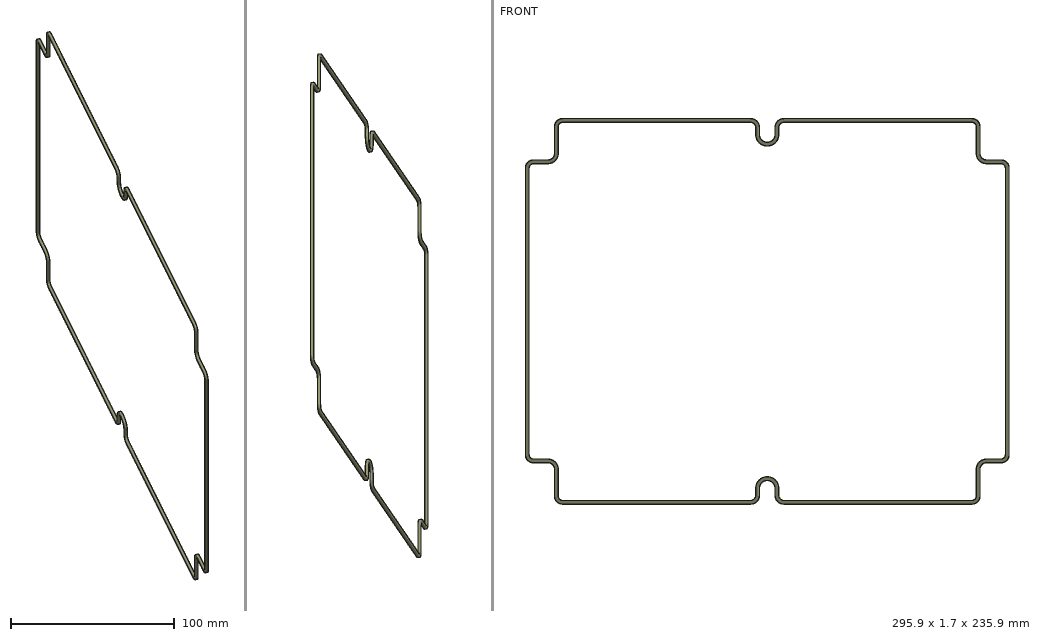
import cadquery as cq

overall_width = 295.9
overall_height = 235.9
thickness = 1.7
band_width = 2.4

front_rounding = 0.5

step_width = 17.8
step_height = 25.3

loop_depth = 14.5
loop_radius = 4.7
loop_entry_radius = 5.5

outer_corner_radius = 5.0
inner_step_radius = 3.9

side_x = overall_width / 2
top_z = overall_height / 2
shoulder_x = side_x - step_width
ledge_z = top_z - step_height
loop_centre_z = top_z - loop_depth + loop_radius


def frame_plate(inset):
    """Plate bounded by a line parallel to the outer edge, moved inward by inset."""
    corner_bend = outer_corner_radius - inset
    entry_bend = loop_entry_radius - inset
    step_bend = inner_step_radius + inset
    loop_bend = loop_radius + inset

    side = side_x - inset
    top = top_z - inset
    shoulder = shoulder_x - inset
    ledge = ledge_z - inset

    quarter = (
        cq.Workplane("XZ", origin=(0, thickness / 2, 0))
        .moveTo(side, 0)
        .lineTo(side, ledge - corner_bend)
        .tangentArcPoint((-corner_bend, corner_bend))
        .lineTo(shoulder + step_bend, ledge)
        .tangentArcPoint((-step_bend, step_bend))
        .lineTo(shoulder, top - corner_bend)
        .tangentArcPoint((-corner_bend, corner_bend))
        .lineTo(loop_bend + entry_bend, top)
        .tangentArcPoint((-entry_bend, -entry_bend))
        .lineTo(loop_bend, loop_centre_z)
        .tangentArcPoint((-loop_bend, -loop_bend))
    )
    return quarter.mirrorY().mirrorX().extrude(thickness)


def gasket_frame():
    """Band of constant width with a flat back and rounded front edges."""
    band = frame_plate(0).cut(frame_plate(band_width)).clean()
    return band.faces("<Y").fillet(front_rounding)


result = gasket_frame()